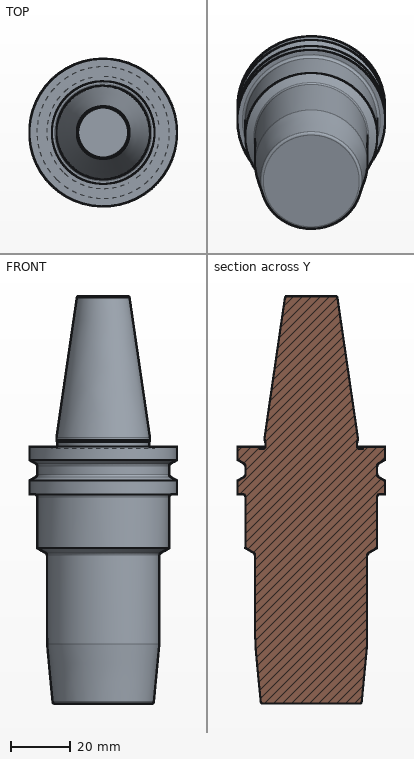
import cadquery as cq
import math

TOTAL_HEIGHT = 137.8

GAUGE_RADIUS = 15.8
GAUGE_HEIGHT = 90.0
TAPER_RADIUS_SLOPE = 7 / 48
SHANK_CHAMFER = 0.4
GAUGE_LAND = 0.8
NECK_RADIUS = 15.6
NECK_BEVEL_HEIGHT = 0.7

RECESS_RADIUS = 17.4
RECESS_DEPTH = 0.7
NECK_FILLET = 0.8

FLANGE_DIAMETER = 50.0
FLANGE_RADIUS = FLANGE_DIAMETER / 2
FLANGE_TOP = 87.0
FLANGE_BOTTOM = 70.8
GROOVE_CENTRE = 79.0
GROOVE_MOUTH = 7.0
GROOVE_WALL_ANGLE = 30.0

COLLAR_RADIUS = 22.3
COLLAR_BOTTOM = 52.6
COLLAR_BEVEL_ANGLE = 30.0
INNER_FILLET = 1.0

BODY_RADIUS = 19.0
BODY_TOP_FILLET = 0.8
NOSE_TOP = 20.3
NOSE_TIP_RADIUS = 17.1
NOSE_FILLET = 1.0

groove_wall_height = (FLANGE_RADIUS - COLLAR_RADIUS) * math.tan(math.radians(GROOVE_WALL_ANGLE))
groove_mouth_top = GROOVE_CENTRE + GROOVE_MOUTH / 2
groove_mouth_bottom = GROOVE_CENTRE - GROOVE_MOUTH / 2
groove_floor_top = groove_mouth_top - groove_wall_height
groove_floor_bottom = groove_mouth_bottom + groove_wall_height
bevel_height = (COLLAR_RADIUS - BODY_RADIUS) * math.tan(math.radians(COLLAR_BEVEL_ANGLE))
body_top = COLLAR_BOTTOM - bevel_height
land_bottom = GAUGE_HEIGHT - GAUGE_LAND
shank_top_radius = GAUGE_RADIUS - (TOTAL_HEIGHT - GAUGE_HEIGHT) * TAPER_RADIUS_SLOPE


def revolve_profile(points):
    """Solid of revolution about Z from (radius, height) points."""
    return cq.Workplane("XZ").polyline(points).close().revolve(360, (0, 0, 0), (0, 1, 0))


def fillet_circle(body, radius, height, fillet):
    """Round the circular edge of the given radius and height."""
    margin = 0.1
    half = radius + margin
    selector = cq.selectors.BoxSelector(
        (-half, -half, height - margin), (half, half, height + margin), boundingbox=True
    )
    circles = body.edges(selector).edges("%CIRCLE").edges(cq.selectors.RadiusNthSelector(-1))
    return circles.fillet(fillet)


def make_nose_and_body():
    return revolve_profile([
        (0, 0),
        (NOSE_TIP_RADIUS, 0),
        (BODY_RADIUS, NOSE_TOP),
        (BODY_RADIUS, body_top),
        (COLLAR_RADIUS, COLLAR_BOTTOM),
        (COLLAR_RADIUS, FLANGE_BOTTOM),
        (0, FLANGE_BOTTOM),
    ])


def make_flange():
    return revolve_profile([
        (0, FLANGE_BOTTOM),
        (FLANGE_RADIUS, FLANGE_BOTTOM),
        (FLANGE_RADIUS, groove_mouth_bottom),
        (COLLAR_RADIUS, groove_floor_bottom),
        (COLLAR_RADIUS, groove_floor_top),
        (FLANGE_RADIUS, groove_mouth_top),
        (FLANGE_RADIUS, FLANGE_TOP),
        (RECESS_RADIUS, FLANGE_TOP),
        (RECESS_RADIUS, FLANGE_TOP - RECESS_DEPTH),
        (0, FLANGE_TOP - RECESS_DEPTH),
    ])


def make_shank():
    return revolve_profile([
        (0, FLANGE_TOP - RECESS_DEPTH),
        (NECK_RADIUS, FLANGE_TOP - RECESS_DEPTH),
        (NECK_RADIUS, land_bottom - NECK_BEVEL_HEIGHT),
        (GAUGE_RADIUS, land_bottom),
        (GAUGE_RADIUS, GAUGE_HEIGHT),
        (shank_top_radius, TOTAL_HEIGHT),
        (0, TOTAL_HEIGHT),
    ]).faces(">Z").chamfer(SHANK_CHAMFER)


holder = make_nose_and_body().union(make_flange()).union(make_shank())
holder = fillet_circle(holder, NECK_RADIUS, FLANGE_TOP - RECESS_DEPTH, NECK_FILLET)
holder = fillet_circle(holder, NOSE_TIP_RADIUS, 0, NOSE_FILLET)
holder = fillet_circle(holder, BODY_RADIUS, body_top, BODY_TOP_FILLET)
holder = fillet_circle(holder, COLLAR_RADIUS, FLANGE_BOTTOM, INNER_FILLET)
for groove_corner in (groove_floor_bottom, groove_floor_top):
    holder = fillet_circle(holder, COLLAR_RADIUS, groove_corner, INNER_FILLET)

result = holder